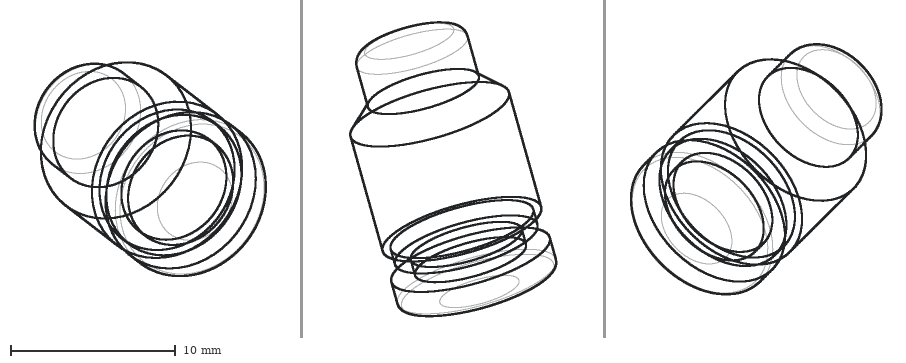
import cadquery as cq

length = 16.5
nose_diameter = 7.0
body_diameter = 10.0
collar_diameter = 9.0
end_face_diameter = body_diameter / 2

nose_end = 3.32
groove_step = 1.0
body_end = 12.39
collar_end = body_end + groove_step
head_start = collar_end + groove_step
head_edge = 16.05

nose_rounding = 0.7
head_rounding = 0.25

nose_radius = nose_diameter / 2
body_radius = body_diameter / 2
collar_radius = collar_diameter / 2
shoulder_end = nose_end + body_radius - nose_radius

profile = (
    cq.Workplane("XY")
    .moveTo(0, 0)
    .lineTo(0, nose_radius)
    .lineTo(nose_end, nose_radius)
    .lineTo(shoulder_end, body_radius)
    .lineTo(body_end, body_radius)
    .lineTo(body_end, collar_radius)
    .lineTo(collar_end, collar_radius)
    .lineTo(collar_end, nose_radius)
    .lineTo(head_start, nose_radius)
    .lineTo(head_start, body_radius)
    .lineTo(head_edge, body_radius)
    .lineTo(length, end_face_diameter / 2)
    .lineTo(length, 0)
    .close()
)
plug = profile.revolve(360, (0, 0, 0), (1, 0, 0))

plug = plug.faces("<X").edges().fillet(nose_rounding)
edge_margin = 0.16
head_rim = cq.selectors.BoxSelector(
    (head_edge - edge_margin, -body_diameter, -body_diameter),
    (head_edge + edge_margin, body_diameter, body_diameter),
    boundingbox=True,
)
result = plug.edges(head_rim).fillet(head_rounding)